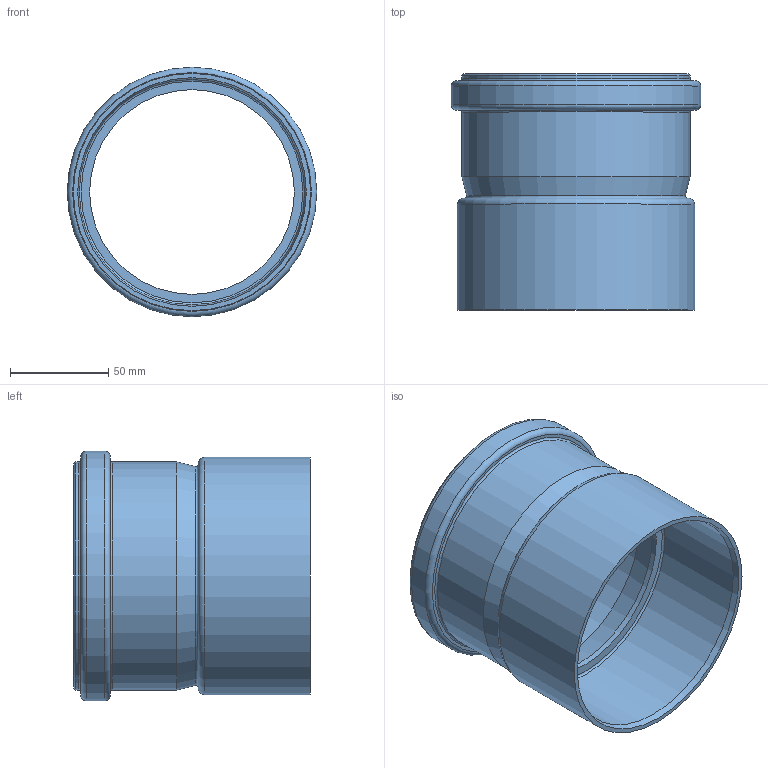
import cadquery as cq


BODY_WALL = 2.7
SOCKET_WALL = 3.0

SOCKET_DIAMETER = 121.0
SOCKET_BORE = SOCKET_DIAMETER - 2 * SOCKET_WALL
LEAD_IN_DIAMETER = 116.6
NECK_DIAMETER = 111.0
NECK_BORE = 104.4
BODY_DIAMETER = 116.4
BODY_BORE = BODY_DIAMETER - 2 * BODY_WALL
BEAD_DIAMETER = 127.2

TOTAL_LENGTH = 120.42
SOCKET_LENGTH = 57.0
TAPER_LENGTH = 11.0
BEAD_WIDTH = 15.0
BEAD_SETBACK = 3.5
LEAD_IN_LENGTH = 3.3
SOCKET_FLOOR_WALL = 3.5
NECK_BORE_LENGTH = 3.0
BORE_TAPER_LENGTH = 12.5

SHOULDER_FILLET = 3.0
BEAD_FILLET = 2.7
SMALL_FILLET = 1.0

TAPER_END = SOCKET_LENGTH + TAPER_LENGTH
BEAD_END = TOTAL_LENGTH - BEAD_SETBACK
BEAD_START = BEAD_END - BEAD_WIDTH
SOCKET_FLOOR = SOCKET_LENGTH - SOCKET_FLOOR_WALL
NECK_BORE_END = SOCKET_FLOOR + NECK_BORE_LENGTH
BORE_TAPER_END = NECK_BORE_END + BORE_TAPER_LENGTH

MATCH_TOLERANCE = 0.01


def turned(profile):
    """Solid of revolution about Y from (diameter, y) corners, closed along the axis."""
    corners = [(diameter / 2, y) for diameter, y in profile]
    start_y = corners[0][1]
    end_y = corners[-1][1]
    outline = [(0, start_y), *corners, (0, end_y)]
    return cq.Workplane("XY").polyline(outline).close().revolve(360, (0, 0), (0, 1))


def round_circle(solid, diameter, y, fillet_radius):
    """Fillet the circular edge that has the given diameter and position on the axis."""

    def matches(edge):
        if edge.geomType() != "CIRCLE":
            return False
        same_place = abs(edge.Center().y - y) < MATCH_TOLERANCE
        same_size = abs(2 * edge.radius() - diameter) < MATCH_TOLERANCE
        return same_place and same_size

    circles = [edge for edge in solid.edges().vals() if matches(edge)]
    return solid.newObject(circles).fillet(fillet_radius)


def make_outside():
    """Socket with a rounded shoulder, tapered neck, plain body and raised bead."""
    outside = turned([
        (SOCKET_DIAMETER, 0),
        (SOCKET_DIAMETER, SOCKET_LENGTH),
        (NECK_DIAMETER, SOCKET_LENGTH),
        (BODY_DIAMETER, TAPER_END),
        (BODY_DIAMETER, BEAD_START),
        (BEAD_DIAMETER, BEAD_START),
        (BEAD_DIAMETER, BEAD_END),
        (BODY_DIAMETER, BEAD_END),
        (BODY_DIAMETER, TOTAL_LENGTH),
    ])
    rounded_edges = [
        (SOCKET_DIAMETER, SOCKET_LENGTH, SHOULDER_FILLET),
        (NECK_DIAMETER, SOCKET_LENGTH, SMALL_FILLET),
        (BEAD_DIAMETER, BEAD_START, BEAD_FILLET),
        (BEAD_DIAMETER, BEAD_END, BEAD_FILLET),
        (BODY_DIAMETER, BEAD_START, SMALL_FILLET),
        (BODY_DIAMETER, BEAD_END, SMALL_FILLET),
        (BODY_DIAMETER, TOTAL_LENGTH, SMALL_FILLET),
    ]
    for diameter, y, fillet_radius in rounded_edges:
        outside = round_circle(outside, diameter, y, fillet_radius)
    return outside


def make_cavity():
    """Stepped through bore: lead-in, socket bore, narrow neck, taper and body bore."""
    cavity = turned([
        (LEAD_IN_DIAMETER, 0),
        (SOCKET_BORE, LEAD_IN_LENGTH),
        (SOCKET_BORE, SOCKET_FLOOR),
        (NECK_BORE, SOCKET_FLOOR),
        (NECK_BORE, NECK_BORE_END),
        (BODY_BORE, BORE_TAPER_END),
        (BODY_BORE, TOTAL_LENGTH),
    ])
    return round_circle(cavity, SOCKET_BORE, SOCKET_FLOOR, SMALL_FILLET)


result = make_outside().cut(make_cavity())